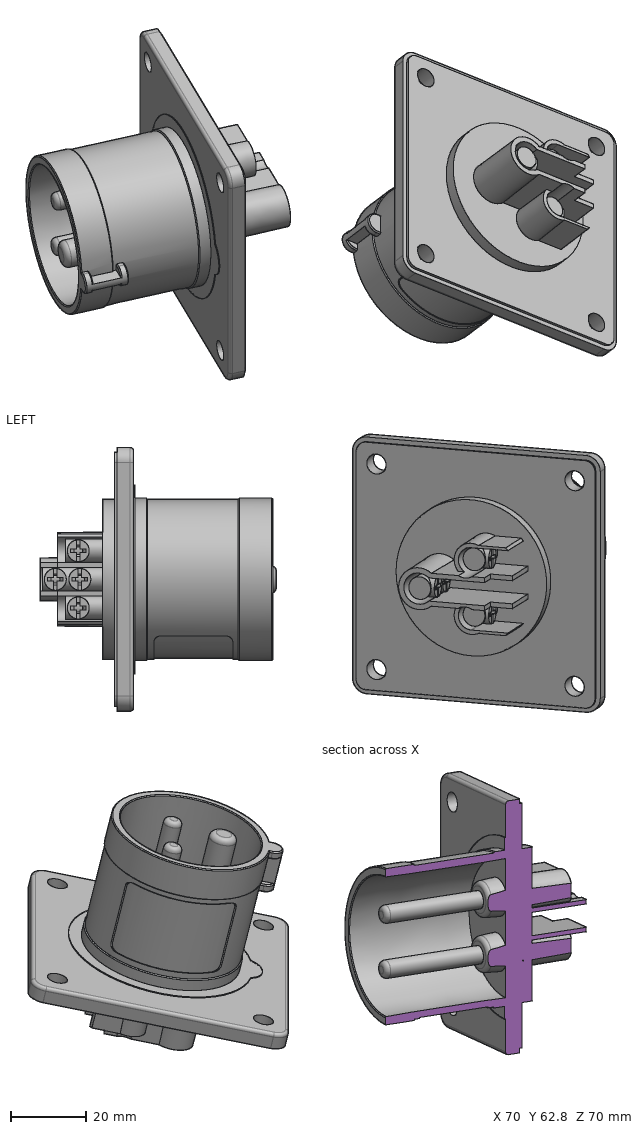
import cadquery as cq
import math


plate_side = 70.0
plate_thickness = 4.4
plate_corner_radius = 4.05
plate_front_fillet = 1.0
plate_rear_step = 0.7
plate_rear_inset = 1.25
plate_rear_y = plate_thickness + plate_rear_step
mount_hole_diameter = 5.4
mount_hole_pitch = 56.0

gasket_radius = 25.05
gasket_thickness = 0.3
gasket_lobe_radius = 5.5

rim_radius = 43.2 / 2
barrel_radius = 42.55 / 2
collar_rear_y = 8.25
base_band_front_y = -3.65
rim_rear_y = -27.7
shell_front_y = -36.9
band_chamfer = 0.3
bore_mouth_radius = 19.45
bore_floor_radius = 19.1
bore_floor_y = 0.0

lug_radius = 2.95
lug_center_x = 22.2
lug_rear_y = -24.65
lug_flange_thickness = 2.25
lug_edge_chamfer = 0.35
lug_web_half_thickness = 1.05

label_depth = 0.3
label_rear_y = -5.3
label_front_y = -26.3
label_top_z = -15.05
label_corner_radius = 1.75

pin_circle_radius = 8.75
earth_pin_diameter = 7.4
earth_pin_tip_diameter = 4.2
earth_pin_tip_y = -37.9
live_pin_diameter = 5.0
live_pin_tip_diameter = 2.2
live_pin_tip_y = -35.5
boss_base_diameter = 10.6
boss_shoulder_diameter = 9.8
boss_top_diameter = 7.3
boss_height = 5.6
live_pin_x = pin_circle_radius * math.cos(math.radians(120))
live_pin_z = pin_circle_radius * math.sin(math.radians(120))

live_housing_y = 20.2
earth_housing_y = 24.85
housing_draft_angle = 0.6
housing_end_x = -15.95
housing_outline_radius = 18.5
earth_block_end_x = -9.8
earth_housing_radius = 5.9
earth_housing_half_width = 4.5
earth_slot_half_width = 3.15
earth_socket_radius = 8.5 / 2
live_housing_radius = 5.0
live_wall_outer_z = 12.0
live_socket_radius = 3.65

terminal_radius = 3.1
live_terminal_y = 18.1
earth_terminal_y = 24.15
screw_diameter = 5.8
screw_stand_off = 3.9
screw_slot_width = 1.0
screw_cross_length = 4.05
screw_cross_depth = 2.0
screw_slot_depth = 0.55
live_screw_y = 14.7
earth_screw_ys = (14.3, 20.8)


def disc(x, z, radius, y_start, y_end):
    """Cylinder along Y between two Y positions."""
    plane = cq.Workplane("XZ", origin=(x, y_start, z))
    return plane.circle(radius).extrude(y_start - y_end)


def block(x_range, y_range, z_range):
    """Axis-aligned box given by its limits."""
    size = [high - low for low, high in (x_range, y_range, z_range)]
    corner = (x_range[0], y_range[0], z_range[0])
    return cq.Workplane("XY").box(*size, centered=False).translate(corner)


def square_plate(side, corner_radius, y_start, y_end):
    """Square plate with rounded corners, centred on the plug axis."""
    plane = cq.Workplane("XZ", origin=(0, y_start, 0))
    return plane.rect(side, side).extrude(y_start - y_end).edges("|Y").fillet(corner_radius)


def make_plate():
    main = square_plate(plate_side, plate_corner_radius, 0, plate_thickness)
    main = main.faces("<Y").edges().fillet(plate_front_fillet)
    rear_side = plate_side - 2 * plate_rear_inset
    rear_corner = plate_corner_radius - plate_rear_inset
    return main.union(square_plate(rear_side, rear_corner, plate_thickness, plate_rear_y))


def make_mount_holes():
    plane = cq.Workplane("XZ", origin=(0, plate_rear_y, 0))
    centers = plane.rect(mount_hole_pitch, mount_hole_pitch, forConstruction=True).vertices()
    return centers.circle(mount_hole_diameter / 2).extrude(plate_rear_y)


def make_gasket():
    ring = disc(0, 0, gasket_radius, 0, -gasket_thickness)
    return ring.union(disc(lug_center_x, 0, gasket_lobe_radius, 0, -gasket_thickness))


def make_shell():
    """Solid shell body, turned about the plug axis."""
    profile = [
        (0, collar_rear_y),
        (barrel_radius, collar_rear_y),
        (barrel_radius, 0),
        (rim_radius, 0),
        (rim_radius, base_band_front_y + band_chamfer),
        (barrel_radius, base_band_front_y),
        (barrel_radius, rim_rear_y),
        (rim_radius, rim_rear_y - band_chamfer),
        (rim_radius, shell_front_y + band_chamfer),
        (rim_radius - band_chamfer, shell_front_y),
        (0, shell_front_y),
    ]
    return cq.Workplane("XY").polyline(profile).close().revolve(360, (0, 0, 0), (0, 1, 0))


def make_shell_bore():
    """Slightly tapered bore with a chamfered mouth."""
    profile = [
        (0, bore_floor_y),
        (bore_floor_radius, bore_floor_y),
        (bore_mouth_radius - band_chamfer, shell_front_y + band_chamfer),
        (bore_mouth_radius, shell_front_y),
        (0, shell_front_y),
    ]
    return cq.Workplane("XY").polyline(profile).close().revolve(360, (0, 0, 0), (0, 1, 0))


def make_label_recess():
    skin = disc(0, 0, rim_radius, label_rear_y, label_front_y)
    skin = skin.cut(disc(0, 0, barrel_radius - label_depth, label_rear_y, label_front_y))
    window = block((-rim_radius, rim_radius), (label_front_y, label_rear_y), (-rim_radius, label_top_z))
    return skin.intersect(window.edges("|X and >Z").fillet(label_corner_radius))


def make_lug_bar(half_width, y_start, y_end):
    """Rounded lug between two Y positions, trimmed to the given half width in Z."""
    tip = disc(lug_center_x, 0, lug_radius, y_start, y_end)
    root = block((bore_mouth_radius, lug_center_x), (y_end, y_start), (-lug_radius, lug_radius))
    trim_x = (bore_mouth_radius, lug_center_x + lug_radius)
    limits = block(trim_x, (y_end, y_start), (-half_width, half_width))
    return root.union(tip).intersect(limits)


def make_lug():
    """Two full-width end flanges with chamfered edges, joined by a thin web."""
    rear_flange_y = (lug_rear_y, lug_rear_y - lug_flange_thickness)
    front_flange_y = (shell_front_y + lug_flange_thickness, shell_front_y)
    web_y = (lug_rear_y - lug_edge_chamfer, shell_front_y + lug_edge_chamfer)
    lug = make_lug_bar(lug_web_half_thickness, *web_y)
    for flange_y in (rear_flange_y, front_flange_y):
        flange = make_lug_bar(lug_radius, *flange_y)
        lug = lug.union(flange.faces("<Y or >Y").edges("not(<X)").chamfer(lug_edge_chamfer))
    return lug


def make_pin(x, z, diameter, tip_diameter, tip_y):
    pin = disc(x, z, diameter / 2, bore_floor_y, tip_y)
    return pin.faces("<Y").edges().fillet((diameter - tip_diameter) / 2)


def make_boss(x, z):
    """Tapered boss with a rounded shoulder around the foot of a live pin."""
    plane = cq.Workplane("XZ", origin=(x, bore_floor_y, z))
    boss = plane.circle(boss_base_diameter / 2)
    boss = boss.workplane(offset=boss_height).circle(boss_shoulder_diameter / 2).loft()
    return boss.faces("<Y").edges().fillet((boss_shoulder_diameter - boss_top_diameter) / 2)


def make_pins():
    pins = make_pin(pin_circle_radius, 0, earth_pin_diameter, earth_pin_tip_diameter, earth_pin_tip_y)
    for z in (-live_pin_z, live_pin_z):
        pins = pins.union(make_boss(live_pin_x, z))
        pins = pins.union(make_pin(live_pin_x, z, live_pin_diameter, live_pin_tip_diameter, live_pin_tip_y))
    return pins


def drafted_post(x, z, base_radius, top_y):
    """Post on the collar that narrows slightly toward its top."""
    plane = cq.Workplane("XZ", origin=(x, collar_rear_y, z))
    return plane.circle(base_radius).extrude(collar_rear_y - top_y, taper=housing_draft_angle)


def make_housings():
    """Insulating walls around the three terminals."""
    low_y = (collar_rear_y, live_housing_y)
    high_y = (collar_rear_y, earth_housing_y)
    wall_z = (-earth_housing_half_width, earth_housing_half_width)
    slot_z = (-earth_slot_half_width, earth_slot_half_width)

    body = drafted_post(pin_circle_radius, 0, earth_housing_radius, earth_housing_y)
    body = body.union(block((earth_block_end_x, pin_circle_radius), high_y, wall_z))
    body = body.union(block((housing_end_x, earth_block_end_x), low_y, wall_z))
    for z in (-live_pin_z, live_pin_z):
        body = body.union(drafted_post(live_pin_x, z, live_housing_radius, live_housing_y))
    body = body.union(block((housing_end_x, live_pin_x), low_y, (-live_wall_outer_z, live_wall_outer_z)))

    body = body.cut(disc(pin_circle_radius, 0, earth_socket_radius, *high_y))
    body = body.cut(block((housing_end_x, pin_circle_radius), high_y, slot_z))
    live_slot_outer_z = live_pin_z + live_socket_radius
    for side in (-1, 1):
        body = body.cut(disc(live_pin_x, side * live_pin_z, live_socket_radius, *high_y))
        live_slot_z = sorted((side * earth_housing_half_width, side * live_slot_outer_z))
        body = body.cut(block((housing_end_x, live_pin_x), high_y, live_slot_z))
    return body.intersect(disc(0, 0, housing_outline_radius, *high_y))


def make_screw(terminal_x, y, z):
    """Cross-slotted screw entering a terminal from the -X side."""
    head_x = terminal_x - screw_stand_off
    screw = cq.Workplane("YZ", origin=(head_x, y, z)).circle(screw_diameter / 2).extrude(screw_stand_off)
    face = cq.Workplane("YZ", origin=(head_x, y, z))
    screw = screw.cut(face.rect(screw_slot_width, screw_diameter).extrude(screw_slot_depth))
    groove_outline = [
        (head_x, -screw_cross_length / 2),
        (head_x, screw_cross_length / 2),
        (head_x + screw_cross_depth, 0),
    ]
    groove = cq.Workplane("XY").polyline(groove_outline).close().extrude(screw_slot_width / 2, both=True)
    for angle in (0, 90):
        screw = screw.cut(groove.rotate((0, 0, 0), (1, 0, 0), angle).translate((0, y, z)))
    return screw


def make_terminals():
    terminals = disc(pin_circle_radius, 0, terminal_radius, collar_rear_y, earth_terminal_y)
    for y in earth_screw_ys:
        terminals = terminals.union(make_screw(pin_circle_radius, y, 0))
    for z in (-live_pin_z, live_pin_z):
        terminals = terminals.union(disc(live_pin_x, z, terminal_radius, collar_rear_y, live_terminal_y))
        terminals = terminals.union(make_screw(live_pin_x, live_screw_y, z))
    return terminals


result = (
    make_plate()
    .cut(make_mount_holes())
    .union(make_gasket())
    .union(make_shell())
    .cut(make_label_recess())
    .union(make_lug())
    .cut(make_shell_bore())
    .union(make_pins())
    .union(make_housings())
    .union(make_terminals())
)